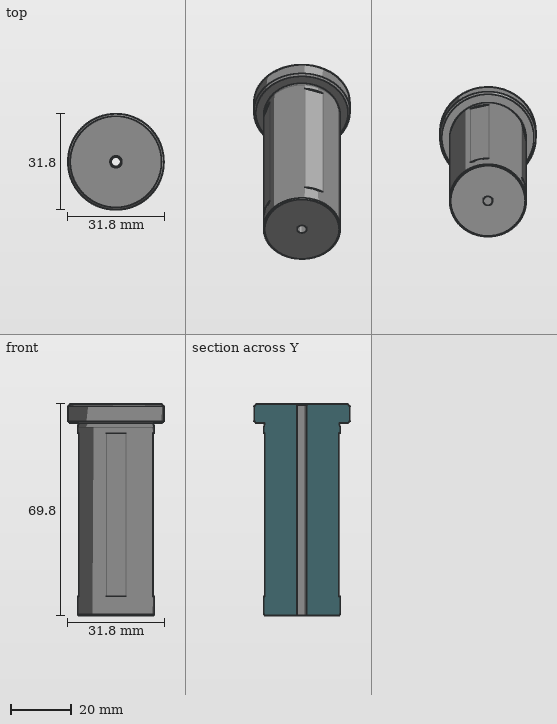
import cadquery as cq
import math

total_height = 69.85
head_diameter = 31.8
head_height = 6.35
body_diameter = 25.35

head_top_chamfer = 0.85
head_bottom_chamfer = 0.7
base_chamfer = 0.4
neck_taper_height = 1.25
neck_taper_inset = 0.35

flat_width = 6.35
flat_bottom = 6.35
flat_top = 60.2
flat_count = 4

bore_diameter = 3.15
bore_mouth_diameter = 3.9

head_radius = head_diameter / 2
body_radius = body_diameter / 2
head_bottom = total_height - head_height


def turned_body():
    """Headed pin revolved from its half section."""
    return (
        cq.Workplane("XZ")
        .moveTo(0, 0)
        .lineTo(body_radius - base_chamfer, 0)
        .lineTo(body_radius, base_chamfer)
        .lineTo(body_radius, head_bottom - neck_taper_height)
        .lineTo(body_radius - neck_taper_inset, head_bottom)
        .lineTo(head_radius - head_bottom_chamfer, head_bottom)
        .lineTo(head_radius, head_bottom + head_bottom_chamfer)
        .lineTo(head_radius, total_height - head_top_chamfer)
        .lineTo(head_radius - head_top_chamfer, total_height)
        .lineTo(0, total_height)
        .close()
        .revolve(360, (0, 0), (0, 1))
    )


def flat_cutter(angle):
    """Block whose inner face lies on the chord that gives the flat its width."""
    chord_distance = math.sqrt(body_radius**2 - (flat_width / 2) ** 2)
    return (
        cq.Workplane("XY")
        .box(body_radius, body_diameter, flat_top - flat_bottom, centered=(False, True, False))
        .translate((chord_distance, 0, flat_bottom))
        .rotate((0, 0, 0), (0, 0, 1), angle)
    )


def bore_cutter():
    """Through bore with a 45 degree countersink at the head face."""
    bore_radius = bore_diameter / 2
    mouth_radius = bore_mouth_diameter / 2
    countersink_depth = mouth_radius - bore_radius
    return (
        cq.Workplane("XZ")
        .moveTo(0, 0)
        .lineTo(bore_radius, 0)
        .lineTo(bore_radius, total_height - countersink_depth)
        .lineTo(mouth_radius, total_height)
        .lineTo(0, total_height)
        .close()
        .revolve(360, (0, 0), (0, 1))
    )


result = turned_body()
for index in range(flat_count):
    result = result.cut(flat_cutter(index * 360 / flat_count))
result = result.cut(bore_cutter())